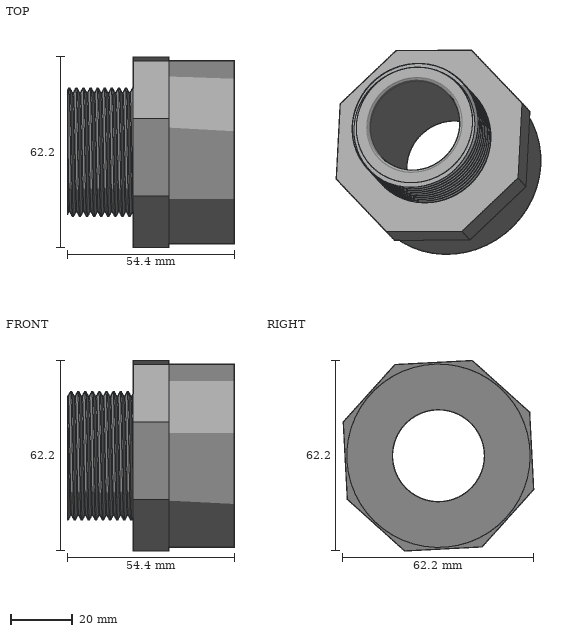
import cadquery as cq
import math

spigot_length = 21.4
flange_length = 11.6
sleeve_length = 21.4
flange_end = spigot_length + flange_length
total_length = flange_end + sleeve_length

wall = 6.0
thread_major_diameter = 41.91
core_diameter = 38.9
bore_diameter = thread_major_diameter - 2 * wall
sleeve_diameter = 59.8
bore_mouth_radius = 1.0

octagon_sides = 8
octagon_extent = 62.19
octagon_turn = 3.0
half_side_angle = 180 / octagon_sides
octagon_diameter = octagon_extent / math.cos(math.radians(half_side_angle - octagon_turn))

inch = 25.4
turns_per_inch = 11
thread_pitch = inch / turns_per_inch
flank_angle = 27.5
crest_width = thread_pitch / 6
first_crest = thread_pitch / 2
run_out_turns = 2
root_overlap = 0.3

core_radius = core_diameter / 2
major_radius = thread_major_diameter / 2


def cylinder(diameter, start, length):
    """Cylinder on the X axis, from X = start."""
    return cq.Workplane("YZ", origin=(start, 0, 0)).circle(diameter / 2).extrude(length)


def make_fitting():
    """Spigot core, octagonal flange and sleeve in one piece, bored right through."""
    core = cylinder(core_diameter, 0, spigot_length)
    flange = (
        cq.Workplane("YZ", origin=(spigot_length, 0, 0))
        .polygon(octagon_sides, octagon_diameter)
        .extrude(flange_length)
        .rotate((0, 0, 0), (1, 0, 0), half_side_angle + octagon_turn)
    )
    sleeve = cylinder(sleeve_diameter, flange_end, sleeve_length)
    bore = cylinder(bore_diameter, 0, total_length)
    fitting = core.union(flange).union(sleeve).cut(bore)
    mouth_edge = cq.selectors.RadiusNthSelector(0)
    return fitting.faces("<X").edges(mouth_edge).fillet(bore_mouth_radius)


def make_thread():
    """Helical ridge around the core, trimmed flush with the spigot end and the flange."""
    helix_start = first_crest - run_out_turns * thread_pitch
    helix_length = spigot_length + 2 * run_out_turns * thread_pitch

    inner_radius = core_radius - root_overlap
    half_crest = crest_width / 2
    half_base = half_crest + (major_radius - inner_radius) * math.tan(math.radians(flank_angle))

    helix = cq.Wire.makeHelix(thread_pitch, helix_length, core_radius)
    ridge = (
        cq.Workplane("XZ")
        .polyline([
            (inner_radius, -half_base),
            (major_radius, -half_crest),
            (major_radius, half_crest),
            (inner_radius, half_base),
        ])
        .close()
        .sweep(cq.Workplane(obj=helix), isFrenet=True)
    )
    ridge = ridge.rotate((0, 0, 0), (0, 1, 0), 90)
    ridge = ridge.rotate((0, 0, 0), (1, 0, 0), 180)
    ridge = ridge.translate((helix_start, 0, 0))

    spigot_envelope = cylinder(sleeve_diameter, 0, spigot_length)
    core_space = cylinder(core_diameter, helix_start - thread_pitch, helix_length + 2 * thread_pitch)
    return ridge.intersect(spigot_envelope).cut(core_space)


fitting = make_fitting()
thread = make_thread()

result = cq.Compound.makeCompound([fitting.val(), *thread.solids().vals()])